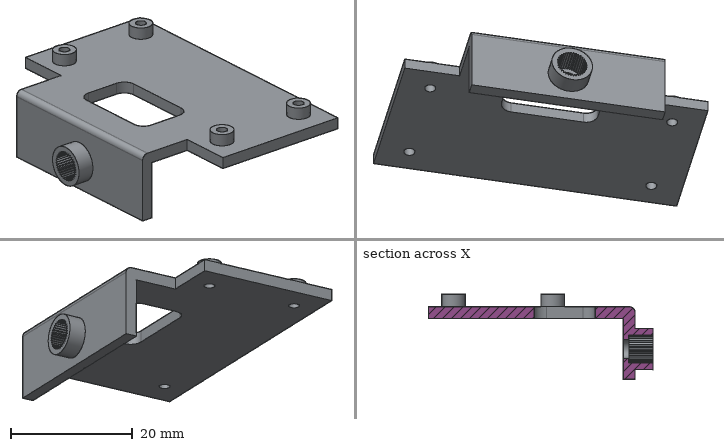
import cadquery as cq
import math

plate_width = 51.0
overall_depth = 37.0
overall_height = 14.0
thickness = 2.0

plate_depth = 24.55
tab_width = 32.55
bend_radius = 1.0

standoff_diameter = 3.95
standoff_height = 2.05
standoff_hole_diameter = 1.8
standoff_spacing_x = 40.7
standoff_spacing_y = 16.3
standoff_back_offset = 4.15

window_width = 16.2
window_depth = 10.0
window_corner_radius = 2.0
window_back_offset = 17.45

hub_diameter = 6.85
hub_length = 2.95
hub_height_above_bottom = 5.0
hub_hole_diameter = 3.0
socket_depth = 4.0
spline_teeth = 36
spline_major_diameter = 5.0
spline_minor_diameter = 4.5

flange_front_y = hub_length - overall_depth
flange_bottom_z = standoff_height - overall_height
hub_z = flange_bottom_z + hub_height_above_bottom


def make_bracket():
    """Wide plate plus an L-shaped tab with a rounded outer bend."""
    plate = (
        cq.Workplane("XY", origin=(0, -plate_depth / 2, 0))
        .rect(plate_width, plate_depth)
        .extrude(-thickness)
    )
    tab = (
        cq.Workplane("YZ")
        .moveTo(0, 0)
        .lineTo(flange_front_y, 0)
        .lineTo(flange_front_y, flange_bottom_z)
        .lineTo(flange_front_y + thickness, flange_bottom_z)
        .lineTo(flange_front_y + thickness, -thickness)
        .lineTo(0, -thickness)
        .close()
        .extrude(tab_width / 2, both=True)
        .edges(cq.selectors.NearestToPointSelector((0, flange_front_y, 0)))
        .fillet(bend_radius)
    )
    return plate.union(tab)


def cut_window(body):
    """Rounded rectangular opening through the plate."""
    window = (
        cq.Workplane("XY")
        .center(0, -window_back_offset - window_depth / 2)
        .rect(window_width, window_depth)
        .extrude(-thickness)
        .edges("|Z")
        .fillet(window_corner_radius)
    )
    return body.cut(window)


def add_standoffs(body):
    """Four drilled standoffs; their holes continue through the plate."""

    def at_standoffs(z):
        center_y = -standoff_back_offset - standoff_spacing_y / 2
        return (
            cq.Workplane("XY", origin=(0, center_y, z))
            .rarray(standoff_spacing_x, standoff_spacing_y, 2, 2)
        )

    posts = at_standoffs(0).circle(standoff_diameter / 2).extrude(standoff_height)
    holes = (
        at_standoffs(-thickness)
        .circle(standoff_hole_diameter / 2)
        .extrude(thickness + standoff_height)
    )
    return body.union(posts).cut(holes)


def spline_points():
    """Alternating tip and root points of the triangular teeth, from a tip straight up."""
    points = []
    for step in range(2 * spline_teeth):
        diameter = spline_major_diameter if step % 2 else spline_minor_diameter
        radius = diameter / 2
        angle = math.pi / 2 + math.pi * step / spline_teeth
        points.append((radius * math.cos(angle), radius * math.sin(angle)))
    return points


def add_hub(body):
    """Hub with a splined socket ending inside the flange and a plain hole through its floor."""
    flange_face = cq.Workplane("XZ", origin=(0, flange_front_y, hub_z))
    hub_face = flange_face.workplane(offset=hub_length)
    hub = flange_face.circle(hub_diameter / 2).extrude(hub_length)
    socket = hub_face.polyline(spline_points()).close().extrude(-socket_depth)
    hole = flange_face.circle(hub_hole_diameter / 2).extrude(-thickness)
    return body.union(hub).cut(socket).cut(hole)


result = add_hub(add_standoffs(cut_window(make_bracket())))